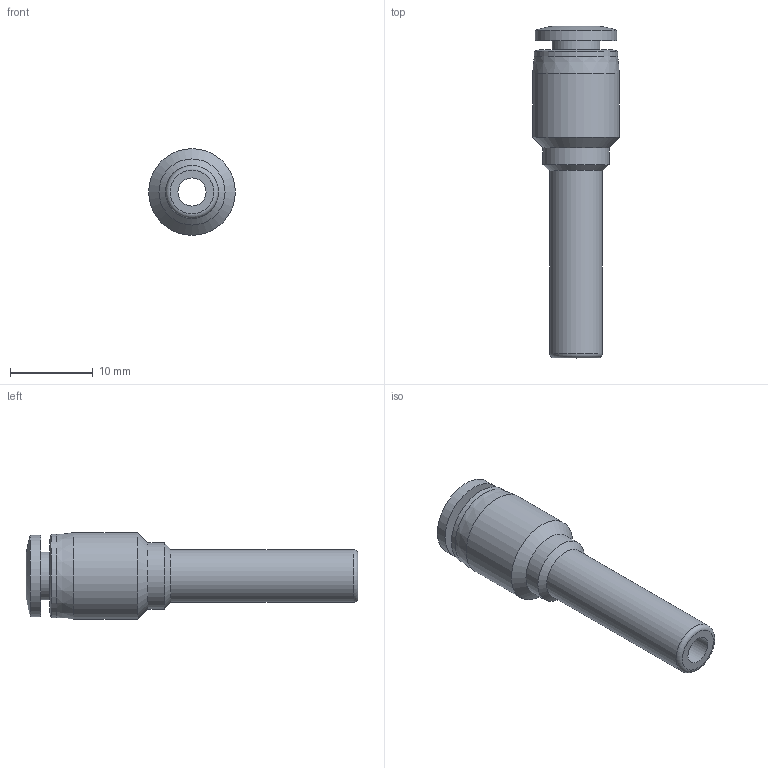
import cadquery as cq


bore_radius = 1.7
plug_radius = 3.2
collar_radius = 4.0
body_radius = 5.25
body_rim_radius = 5.05
sleeve_radius = 2.9
button_radius = 4.92
button_face_radius = 2.5

plug_length = 22.7
plug_cone_length = 0.7
collar_length = 2.05
body_cone_length = body_radius - collar_radius
body_length = 7.75
barrel_length = 2.06
rim_length = 0.84
button_gap = 1.05
button_edge_length = 1.3
button_crown_height = 0.5

tip_fillet = 0.55
rim_bevel_height = 0.2
rim_bevel_width = 0.75
crown_bulge = 0.07
barrel_bulge = 0.015

plug_end = plug_length
collar_start = plug_end + plug_cone_length
collar_end = collar_start + collar_length
body_start = collar_end + body_cone_length
body_end = body_start + body_length
barrel_end = body_end + barrel_length
rim_end = barrel_end + rim_length
button_start = rim_end + button_gap
button_edge_end = button_start + button_edge_length
overall_length = button_edge_end + button_crown_height

barrel_mid_radius = (body_radius + body_rim_radius) / 2 + barrel_bulge
barrel_mid = body_end + barrel_length / 2

crown_mid_radius = (button_radius + button_face_radius) / 2
crown_mid = button_edge_end + button_crown_height / 2 + crown_bulge


def make_outer_body():
    """Revolve the solid outline, drawn as (radius, station) points."""
    profile = (
        cq.Workplane("XY")
        .moveTo(0, 0)
        .lineTo(plug_radius - tip_fillet, 0)
        .radiusArc((plug_radius, tip_fillet), -tip_fillet)
        .lineTo(plug_radius, plug_end)
        .lineTo(collar_radius, collar_start)
        .lineTo(collar_radius, collar_end)
        .lineTo(body_radius, body_start)
        .lineTo(body_radius, body_end)
        .threePointArc((barrel_mid_radius, barrel_mid), (body_rim_radius, barrel_end))
        .lineTo(body_rim_radius, rim_end - rim_bevel_height)
        .lineTo(body_rim_radius - rim_bevel_width, rim_end)
        .lineTo(sleeve_radius, rim_end)
        .lineTo(sleeve_radius, button_start)
        .lineTo(button_radius, button_start)
        .lineTo(button_radius, button_edge_end)
        .threePointArc((crown_mid_radius, crown_mid), (button_face_radius, overall_length))
        .lineTo(0, overall_length)
        .close()
    )
    return profile.revolve(360, (0, 0, 0), (0, 1, 0))


def make_bore():
    """Straight passage through the full length of the fitting."""
    return cq.Workplane("XZ").circle(bore_radius).extrude(-overall_length)


result = make_outer_body().cut(make_bore())